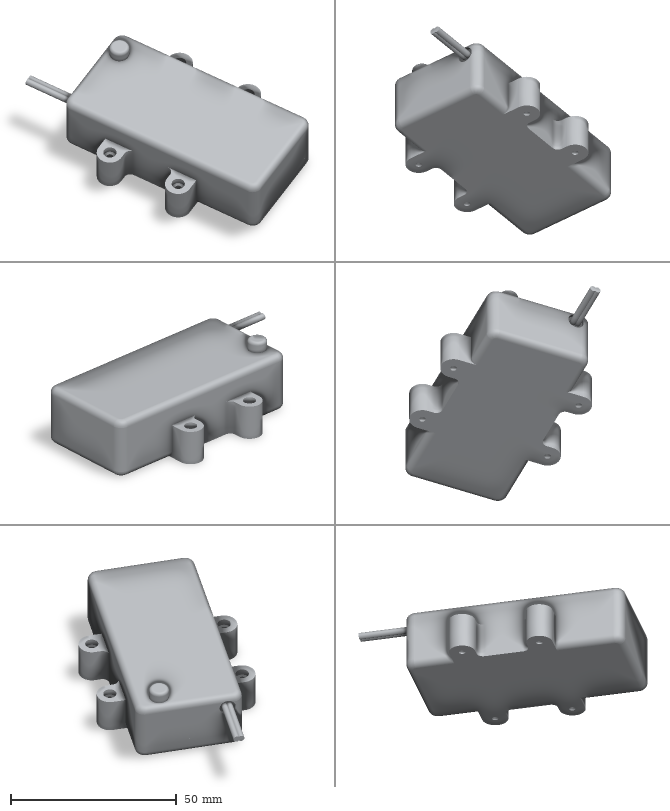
import cadquery as cq

case_length = 68.0
case_width = 33.0
case_height = 19.0
corner_radius = 3.0
edge_radius = 2.0
parting_height = 5.0

tab_width = 8.0
tab_height = 11.0
tab_pitch = 24.0
first_tab_from_end = 19.0
tab_overhang = 8.0
tab_root_radius = 2.0
screw_hole_diameter = 2.0
counterbore_diameter = 4.0
counterbore_depth = 2.0

button_diameter = 6.0
button_height = 3.5
button_edge_radius = 1.0
button_from_end = 5.0
button_from_side = 8.0

wire_diameter = 2.0
wire_spacing = 1.4
cable_free_length = 15.0
cable_from_side = 5.0
cable_z = 15.0
recess_diameter = 5.0
recess_depth = 1.0

case_end_x = -case_length / 2
case_side_y = case_width / 2
tab_radius = tab_width / 2
cable_y = cable_from_side - case_side_y
hole_y = case_side_y + tab_overhang - tab_radius
first_tab_x = case_end_x + first_tab_from_end
tabs_middle_x = first_tab_x + tab_pitch / 2
tab_places = [
    (first_tab_x + i * tab_pitch, side * hole_y)
    for i in range(2)
    for side in (-1, 1)
]
tab_gap = tab_pitch - tab_width
pick_margin = 0.1


def rounded_case():
    """Plain block with round upright corners and rounded top and bottom edges."""
    block = cq.Workplane().box(case_length, case_width, case_height, centered=(True, True, False))
    return block.edges("|Z").fillet(corner_radius).faces("<Z or >Z").edges().fillet(edge_radius)


def tab_plate():
    """Square-edged plate across the case that carries the four screw tabs."""
    plate = (
        cq.Workplane()
        .center(tabs_middle_x, 0)
        .rect(tab_pitch + tab_width, case_width)
        .extrude(tab_height)
    )
    for x in (first_tab_x, first_tab_x + tab_pitch):
        strip = cq.Workplane().center(x, 0).rect(tab_width, 2 * hole_y).extrude(tab_height)
        plate = plate.union(strip)
    plate = plate.union(cq.Workplane().pushPoints(tab_places).circle(tab_radius).extrude(tab_height))
    pick_half_x = tab_gap / 2 + pick_margin
    pick_half_y = case_side_y + pick_margin
    inner_corners = cq.selectors.BoxSelector(
        (tabs_middle_x - pick_half_x, -pick_half_y, 0),
        (tabs_middle_x + pick_half_x, pick_half_y, tab_height),
    )
    return plate.edges("|Z").edges(inner_corners).fillet(tab_root_radius)


def screw_holes():
    """Counterbored through holes, one per tab."""
    holes = cq.Workplane().pushPoints(tab_places).circle(screw_hole_diameter / 2).extrude(tab_height)
    counterbores = (
        cq.Workplane()
        .workplane(offset=tab_height - counterbore_depth)
        .pushPoints(tab_places)
        .circle(counterbore_diameter / 2)
        .extrude(counterbore_depth)
    )
    return holes.union(counterbores)


def whole_enclosure():
    """Whole enclosure before it is divided at the parting plane."""
    return rounded_case().union(tab_plate()).cut(screw_holes())


def below_parting():
    """Block that covers everything under the parting plane."""
    return cq.Workplane().box(
        2 * case_length, 2 * case_width, parting_height, centered=(True, True, False)
    )


def button():
    """Round button standing on the cover, with a rounded top edge."""
    return (
        cq.Workplane()
        .workplane(offset=case_height)
        .center(case_end_x + button_from_end, case_side_y - button_from_side)
        .circle(button_diameter / 2)
        .extrude(button_height)
        .faces(">Z")
        .edges()
        .fillet(button_edge_radius)
    )


def rod_along_x(diameter, start_x, end_x, y):
    """Round rod parallel to X at the cable height."""
    return (
        cq.Workplane("YZ", origin=(start_x, y, cable_z))
        .circle(diameter / 2)
        .extrude(end_x - start_x)
    )


def make_base(enclosure):
    """Lower part of the enclosure."""
    return enclosure.intersect(below_parting())


def make_cover(enclosure):
    """Upper part of the enclosure, with the button and the cable recess."""
    recess = rod_along_x(recess_diameter, case_end_x, case_end_x + recess_depth, cable_y)
    return enclosure.cut(below_parting()).union(button()).cut(recess)


def make_cable():
    """Two joined wires that end on the floor of the recess."""
    start_x = case_end_x - cable_free_length
    end_x = case_end_x + recess_depth
    first_wire = rod_along_x(wire_diameter, start_x, end_x, cable_y - wire_spacing / 2)
    second_wire = rod_along_x(wire_diameter, start_x, end_x, cable_y + wire_spacing / 2)
    return first_wire.union(second_wire)


enclosure = whole_enclosure()
base = make_base(enclosure)
cover = make_cover(enclosure)
cable = make_cable()

result = cq.Compound.makeCompound([base.val(), cover.val(), cable.val()])